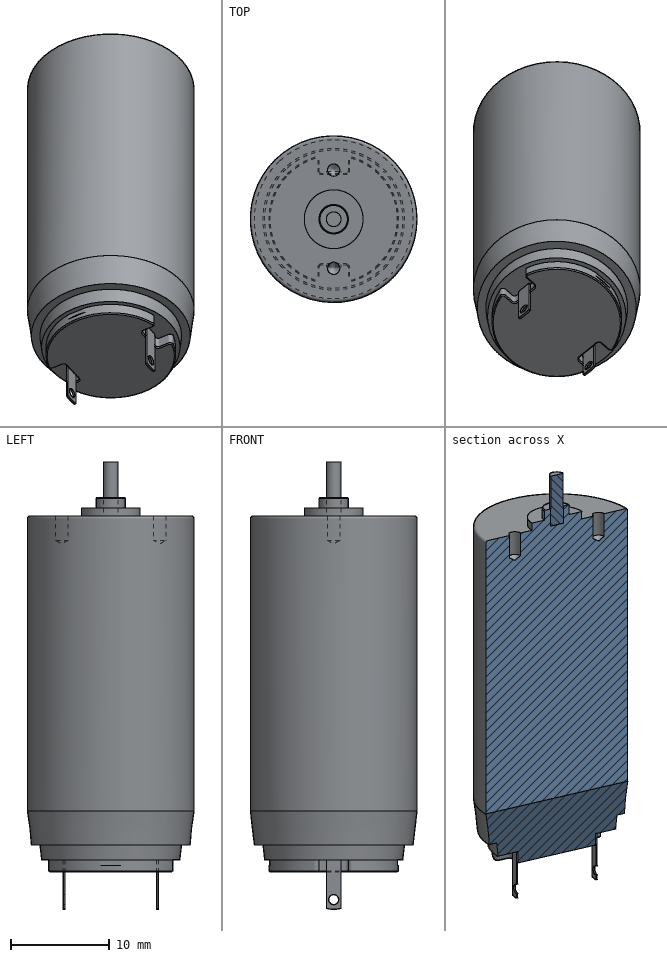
import cadquery as cq
import math


housing_radius = 8.5
housing_length = 30.1
housing_edge = 0.3
boss_radius = 3.0
boss_height = 0.8
bushing_radius = 1.5
bushing_top = 1.88
bushing_edge = 0.1

mount_hole_diameter = 1.25
mount_hole_offset = 5.0
mount_hole_depth = 2.5
drill_point_angle = 118

shaft_radius = 0.75
shaft_top = 5.48

skirt_height = 3.45
skirt_end_radius = 8.1
step_height = 1.5
step_start_radius = 7.22
step_end_radius = 7.05
plug_height = 1.25
plug_radius = 6.6
plug_edge = 0.12

flat_width = 2.0
flat_height = 0.6

terminal_width = 1.5
terminal_thickness = 0.2
terminal_offset = 4.75
terminal_tip_rise = 0.1
terminal_hole_diameter = 1.0
terminal_hole_above_end = 1.0
slot_width = 3.0
slot_outer_round = 0.35
slot_inner_round = 0.3
overall_length = 45.59

cap_top = -housing_length
skirt_bottom = cap_top - skirt_height
step_bottom = skirt_bottom - step_height
plug_bottom = step_bottom - plug_height
terminal_end = shaft_top - overall_length
slot_floor = terminal_offset - terminal_thickness / 2
slot_mouth = math.sqrt(plug_radius**2 - (slot_width / 2) ** 2)
sides = (1, -1)


def cylinder(radius, bottom, top):
    return cq.Workplane("XY").workplane(offset=bottom).circle(radius).extrude(top - bottom)


def drilled_hole(y):
    """Blind hole from the front face, ending in a drill point."""
    radius = mount_hole_diameter / 2
    point_length = radius / math.tan(math.radians(drill_point_angle / 2))
    profile = [
        (0, 0),
        (radius, 0),
        (radius, -mount_hole_depth),
        (0, -mount_hole_depth - point_length),
    ]
    return cq.Workplane("XZ").polyline(profile).close().revolve().translate((0, y, 0))


def make_housing():
    body = cylinder(housing_radius, cap_top, 0).faces(">Z").edges().fillet(housing_edge)
    body = body.union(cylinder(boss_radius, 0, boss_height))
    bushing = cylinder(bushing_radius, boss_height, bushing_top)
    body = body.union(bushing.faces(">Z").edges().chamfer(bushing_edge))
    for side in sides:
        body = body.cut(drilled_hole(side * mount_hole_offset))
    return body.cut(cylinder(shaft_radius, 0, bushing_top))


def make_shaft():
    """Shaft seated at the level of the housing's front face."""
    return cylinder(shaft_radius, 0, shaft_top)


def plug_slot(side):
    """Straight-sided slot, open to the rim, with its floor against the back of a terminal."""
    slot = cq.Workplane("XY").box(slot_width, plug_radius, plug_height)
    return slot.translate((0, side * (slot_floor + plug_radius / 2), plug_bottom + plug_height / 2))


def plug_flat(side):
    """Cutter for a shallow flat on the plug, just below the step."""
    flat_distance = math.sqrt(plug_radius**2 - (flat_width / 2) ** 2)
    depth = plug_radius - flat_distance
    return cq.Workplane("XY").box(2 * depth, flat_width, flat_height).translate(
        (side * plug_radius, 0, step_bottom - flat_height / 2)
    )


def slot_corners(plug, corner_y):
    """The four upright slot edges that stand at the distance corner_y from the XZ plane."""
    middle_z = (plug_bottom + step_bottom) / 2
    points = [(x * slot_width / 2, y * corner_y, middle_z) for x in sides for y in sides]
    upright = plug.edges("|Z")
    corners = [upright.edges(cq.selectors.NearestToPointSelector(point)).val() for point in points]
    return plug.newObject(corners)


def make_plug():
    plug = cylinder(plug_radius, plug_bottom, step_bottom)
    for side in sides:
        plug = plug.cut(plug_slot(side))
    plug = slot_corners(plug, slot_mouth).fillet(slot_outer_round)
    plug = slot_corners(plug, slot_floor).fillet(slot_inner_round)
    plug = plug.faces("<Z").edges().chamfer(plug_edge)
    for side in sides:
        plug = plug.cut(plug_flat(side))
    return plug


def make_end_cap():
    profile = [
        (0, cap_top),
        (housing_radius, cap_top),
        (skirt_end_radius, skirt_bottom),
        (step_start_radius, skirt_bottom),
        (step_end_radius, step_bottom),
        (0, step_bottom),
    ]
    body = cq.Workplane("XZ").polyline(profile).close().revolve()
    return body.union(make_plug())


def make_terminal(side):
    """Flat solder lug with a bowed tip and a wire hole."""
    half_width = terminal_width / 2
    shoulder = terminal_end + terminal_tip_rise
    lug = (
        cq.Workplane("XZ")
        .moveTo(-half_width, step_bottom)
        .lineTo(-half_width, shoulder)
        .threePointArc((0, terminal_end), (half_width, shoulder))
        .lineTo(half_width, step_bottom)
        .close()
        .moveTo(0, terminal_end + terminal_hole_above_end)
        .circle(terminal_hole_diameter / 2)
        .extrude(terminal_thickness / 2, both=True)
    )
    return lug.translate((0, side * terminal_offset, 0))


housing = make_housing()
shaft = make_shaft()
end_cap = make_end_cap()
terminals = [make_terminal(side) for side in sides]

result = cq.Compound.makeCompound(
    [housing.val(), shaft.val(), end_cap.val(), *[terminal.val() for terminal in terminals]]
)